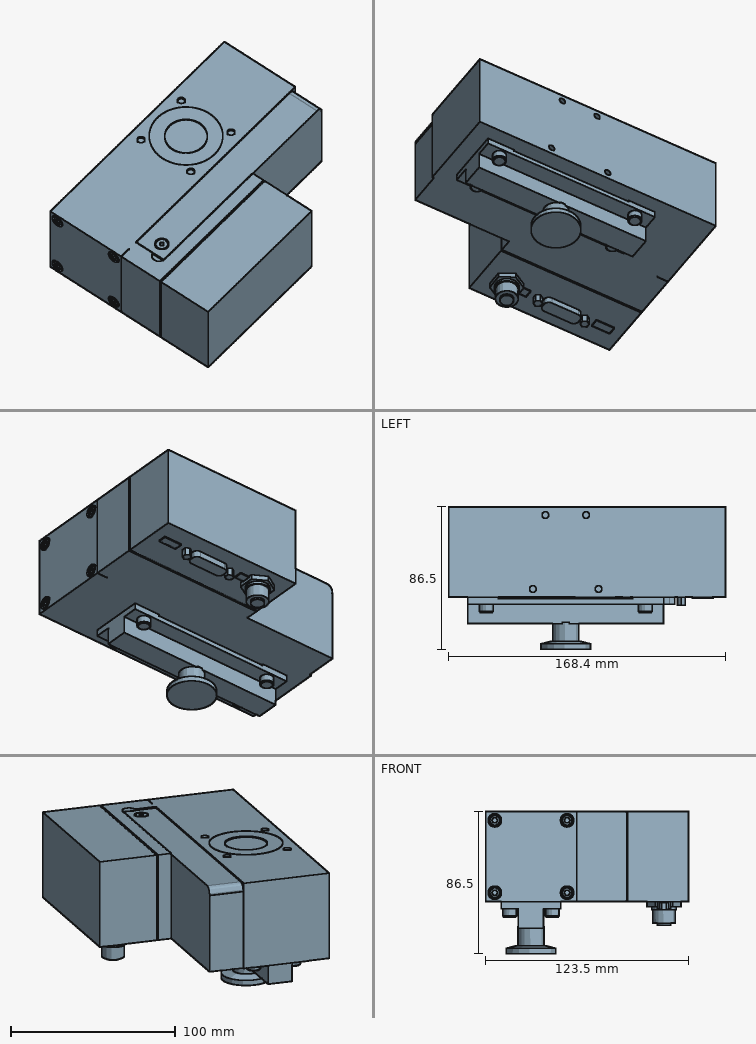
import cadquery as cq
import math

length = 168.4
width = 123.5
height = 54.7
total_height = 86.5

housing_width = 55.4
valve_x = 27.6
valve_y = 97.2

arm_right = 77.1
arm_back = 167.2
arm_edge_radius = 4.4
drive_back = 100.2
joint_x = 86.0
joint_width = 0.7
joint_depth = 0.7

seam_width = 0.2
seam_depth = 7.7

lid_front = 14.8
lid_drop = 0.7
lid_rim = 0.7
lid_setback = 0.2
lid_gap = 0.7
pry_radius = 4.2
pry_depth = 2.0
lid_screw_x = 68.2
lid_screw_y = 23.5

port_diameter = 44.8
port_depth = 0.2
window_diameter = 26.0
window_depth = 0.8
port_hole_diameter = 4.7
port_hole_spacing = 38.9
port_hole_depth = 1.3

side_hole_diameter = 4.0
side_hole_depth = 5.0
side_hole_inset = 4.9
upper_side_spacing = 24.8
lower_side_spacing = 39.9

front_screw_spacing = 44.0

flange_plate_width = 36.4
flange_plate_thickness = 4.4
flange_front = 37.7
flange_back = 156.8
web_width = 15.5
web_bottom = -16.2
relief_front = 56.5
relief_back = 138.1
relief_depth = 1.0
cap_screw_diameter = 8.5
cap_screw_height = 5.0
cap_screw_chamfer = 0.7
cap_screw_spacing_x = 26.0
cap_screw_spacing_y = 96.7

pipe_diameter = 16.0
pipe_flange_diameter = 30.3
pipe_flange_rim = 3.4
pipe_flange_cone = 1.7
pipe_cone_top_diameter = 17.5

connector_x = 108.5
round_plug_y = 82.5
nut_across_flats = 18.0
nut_height = 3.2
plug_steps = [(15.2, 5.0), (13.8, 13.1), (8.5, 14.5)]

socket_y = 43.6
shell_length = 25.6
shell_width = 8.5
shell_height = 4.4
shell_corner = 3.4
post_spacing = 33.3
post_across_flats = 4.9
post_height = 5.0
pad_length = 12.8
pad_width = 5.5
pad_thickness = 0.7
pad_spacing = 59.6

overlap = 0.8


def block(x0, x1, y0, y1, z0, z1):
    """Box between two opposite corners."""
    return cq.Workplane("XY").box(x1 - x0, y1 - y0, z1 - z0, centered=False).translate((x0, y0, z0))


def cylinder(x, y, z0, z1, diameter):
    """Upright cylinder from z0 to z1."""
    return cq.Workplane("XY", origin=(x, y, z0)).circle(diameter / 2).extrude(z1 - z0)


def hexagon(x, y, z0, z1, across_flats):
    """Upright hexagonal prism with two corners along X."""
    corner_diameter = across_flats / math.cos(math.radians(30))
    return cq.Workplane("XY", origin=(x, y, z0)).polygon(6, corner_diameter).extrude(z1 - z0)


def grid(x, y, spacing_x, spacing_y):
    """Four points around a centre."""
    return [(x + i * spacing_x / 2, y + j * spacing_y / 2) for i in (-1, 1) for j in (-1, 1)]


def make_blocks():
    housing = block(0, housing_width, 0, length, 0, height)
    lid_top = height - lid_drop
    lid = block(housing_width, arm_right, lid_front, arm_back - lid_setback,
                lid_top - arm_edge_radius - lid_rim, lid_top)
    lid = lid.faces(">Y").edges(">Z").fillet(arm_edge_radius)
    arm = block(housing_width, arm_right, 0, arm_back, 0, lid_top - arm_edge_radius - lid_rim)
    arm = arm.union(lid)
    drive = block(housing_width, width, 0, drive_back, 0, height)
    return housing.union(arm).union(drive)


def cut_joints(body):
    """Groove around the motor block and slit beside the housing's front end."""
    left = joint_x - joint_width / 2
    right = joint_x + joint_width / 2
    ring = block(left, right, 0, drive_back, 0, height)
    core = block(left, right, joint_depth, drive_back - joint_depth, joint_depth, height - joint_depth)
    slit = block(housing_width, housing_width + seam_width, 0, seam_depth, 0, height)
    return body.cut(ring.cut(core)).cut(slit)


def cut_lid(body):
    """Sunken lid of the long strip, with its front gap and lifting notch."""
    notch_x = arm_right - pry_radius
    drop = block(housing_width, arm_right, lid_front, drive_back, height - lid_drop, height)
    gap = block(housing_width, notch_x, lid_front - lid_gap, lid_front, height - pry_depth, height)
    notch = cylinder(notch_x, lid_front, height - pry_depth, height, 2 * pry_radius)
    notch = notch.intersect(block(0, width, 0, lid_front, 0, height))
    return body.cut(drop).cut(gap).cut(notch)


def cut_port(body):
    body = body.cut(cylinder(valve_x, valve_y, height - port_depth, height, port_diameter))
    body = body.cut(cylinder(valve_x, valve_y, height - window_depth, height, window_diameter))
    for x, y in grid(valve_x, valve_y, port_hole_spacing, port_hole_spacing):
        body = body.cut(cylinder(x, y, height - port_hole_depth, height, port_hole_diameter))
    return body


def cut_side_holes(body):
    rows = [(height - side_hole_inset, upper_side_spacing), (side_hole_inset, lower_side_spacing)]
    for z, spacing in rows:
        for side in (-1, 1):
            start = cq.Workplane("YZ", origin=(0, valve_y + side * spacing / 2, z))
            body = body.cut(start.circle(side_hole_diameter / 2).extrude(side_hole_depth))
    return body


def front_screw_cut():
    """Space around and inside a sunken socket screw, opening at z = 0 and going down."""
    recess_diameter = 8.0
    recess_depth = 3.4
    head_diameter = 7.2
    head_sink = 0.5
    head_chamfer = 0.7
    key_across_flats = 3.0
    key_depth = 2.0
    recess = cylinder(0, 0, -recess_depth, 0, recess_diameter)
    head = cylinder(0, 0, -recess_depth, -head_sink, head_diameter).faces(">Z").chamfer(head_chamfer)
    return recess.cut(head).union(hexagon(0, 0, -key_depth, -head_sink, key_across_flats))


def cut_front_screws(body):
    tool = front_screw_cut().rotate((0, 0, 0), (1, 0, 0), 90)
    for x, z in grid(valve_x, height / 2, front_screw_spacing, front_screw_spacing):
        body = body.cut(tool.translate((x, 0, z)))
    return body


def cut_lid_screw(body):
    """Flat-headed screw in the lid: a ring gap and a conical-bottomed key hole."""
    ring_outer = 8.5
    ring_inner = 7.5
    ring_depth = 0.8
    key_diameter = 2.5
    key_depth = 0.5
    top = height - lid_drop
    ring = cylinder(lid_screw_x, lid_screw_y, top - ring_depth, top, ring_outer)
    ring = ring.cut(cylinder(lid_screw_x, lid_screw_y, top - ring_depth, top, ring_inner))
    key = cylinder(lid_screw_x, lid_screw_y, top - key_depth, top, key_diameter)
    point = cq.Solid.makeCone(key_diameter / 2, 0, key_diameter / 2,
                              pnt=(lid_screw_x, lid_screw_y, top - key_depth), dir=(0, 0, -1))
    return body.cut(ring).cut(key).cut(cq.Workplane(point))


def make_foot():
    """T-shaped flange under the housing with its four cap screws."""
    plate_left = valve_x - flange_plate_width / 2
    plate_right = valve_x + flange_plate_width / 2
    plate = block(plate_left, plate_right, flange_front, flange_back, -flange_plate_thickness, 0)
    relief = block(plate_left, plate_right, relief_front, relief_back, -relief_depth, 0)
    web = block(valve_x - web_width / 2, valve_x + web_width / 2, flange_front, flange_back,
                web_bottom, -flange_plate_thickness)
    foot = plate.cut(relief).union(web)
    screw_bottom = -flange_plate_thickness - cap_screw_height
    for x, y in grid(valve_x, valve_y, cap_screw_spacing_x, cap_screw_spacing_y):
        screw = cylinder(x, y, screw_bottom, -flange_plate_thickness, cap_screw_diameter)
        foot = foot.union(screw.faces("<Z").chamfer(cap_screw_chamfer))
    return foot


def make_pipe():
    """Round pipe stub ending in a clamp flange with a conical back."""
    bottom = height - total_height
    rim_top = bottom + pipe_flange_rim
    cone_top = rim_top + pipe_flange_cone
    profile = [
        (0, bottom),
        (pipe_flange_diameter / 2, bottom),
        (pipe_flange_diameter / 2, rim_top),
        (pipe_cone_top_diameter / 2, cone_top),
        (pipe_diameter / 2, cone_top),
        (pipe_diameter / 2, web_bottom + overlap),
        (0, web_bottom + overlap),
    ]
    pipe = cq.Workplane("XZ").polyline(profile).close().revolve(360, (0, 0, 0), (0, 1, 0))
    return pipe.translate((valve_x, valve_y, 0))


def make_round_plug():
    plug = hexagon(connector_x, round_plug_y, -nut_height, overlap, nut_across_flats)
    for diameter, depth in plug_steps:
        plug = plug.union(cylinder(connector_x, round_plug_y, -depth, overlap, diameter))
    return plug


def make_socket():
    """Multi-pin socket shell with a hexagonal post and a thin pad at each end."""
    shell = block(connector_x - shell_width / 2, connector_x + shell_width / 2,
                  socket_y - shell_length / 2, socket_y + shell_length / 2, -shell_height, overlap)
    socket = shell.edges("|Z").fillet(shell_corner)
    for side in (-1, 1):
        post_y = socket_y + side * post_spacing / 2
        pad_y = socket_y + side * pad_spacing / 2
        socket = socket.union(hexagon(connector_x, post_y, -post_height, overlap, post_across_flats))
        socket = socket.union(block(connector_x - pad_width / 2, connector_x + pad_width / 2,
                                    pad_y - pad_length / 2, pad_y + pad_length / 2,
                                    -pad_thickness, overlap))
    return socket


body = make_blocks()
for cut_feature in (cut_joints, cut_lid, cut_port, cut_side_holes, cut_front_screws, cut_lid_screw):
    body = cut_feature(body)
for added in (make_foot(), make_pipe(), make_socket().union(make_round_plug())):
    body = body.union(added)
result = body